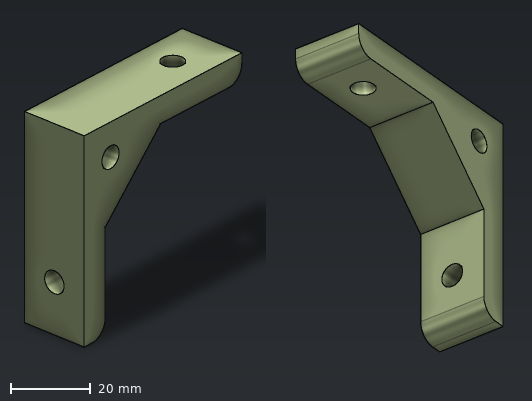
import cadquery as cq

width = 20.0
leg_length = 60.0
leg_thickness = 8.0
gusset_reach = 29.15
tip_radius = 5.0
hole_diameter = 6.5
leg_hole_from_tip = 15.0
corner_hole_inset = 10.0

mid_width = width / 2
leg_underside = leg_length - leg_thickness


def bracket_body():
    """L-shaped profile with a 45 degree web, extruded across the width."""
    profile = (
        cq.Workplane("YZ")
        .moveTo(0, 0)
        .lineTo(0, leg_length)
        .lineTo(leg_length, leg_length)
        .lineTo(leg_length, leg_underside + tip_radius)
        .radiusArc((leg_length - tip_radius, leg_underside), tip_radius)
        .lineTo(gusset_reach, leg_underside)
        .lineTo(leg_thickness, leg_length - gusset_reach)
        .lineTo(leg_thickness, tip_radius)
        .radiusArc((leg_thickness - tip_radius, 0), tip_radius)
        .close()
    )
    return profile.extrude(width)


def through_hole(start, direction, length):
    """Cylinder that cuts a hole from the start point along the direction."""
    return cq.Workplane(cq.Solid.makeCylinder(
        hole_diameter / 2, length, cq.Vector(*start), cq.Vector(*direction)
    ))


upright_leg_hole = through_hole((mid_width, 0, leg_hole_from_tip), (0, 1, 0), leg_thickness)
top_leg_hole = through_hole(
    (mid_width, leg_length - leg_hole_from_tip, leg_length), (0, 0, -1), leg_thickness
)
corner_hole = through_hole(
    (0, corner_hole_inset, leg_length - corner_hole_inset), (1, 0, 0), width
)

result = bracket_body().cut(upright_leg_hole).cut(top_leg_hole).cut(corner_hole)